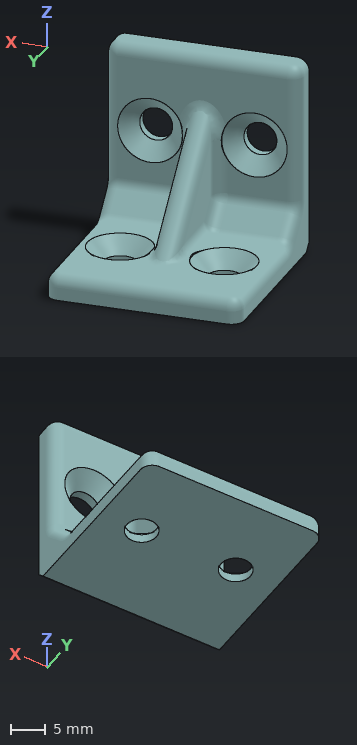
import cadquery as cq
import math

size = 30.0
wall = 4.0
round_radius = wall / 2
corner_gusset = wall
heel_chamfer = 1.25
rib_width = wall
rib_reach = 26.0
bend_start = wall + corner_gusset
pick_margin = 0.3
hole_diameter = 5.0
sink_diameter = 2 * hole_diameter
sink_depth = (sink_diameter - hole_diameter) / 2
hole_spacing = 16.0
hole_height = 17.0


def extrude_across(points, width):
    """Extrude a closed (Y, Z) outline along X, centred on X = 0."""
    return cq.Workplane("YZ").polyline(points).close().extrude(width / 2, both=True)


def make_plates():
    """L section with a slanted inner corner, rounded ends and rounded rims."""
    plates = extrude_across(
        [
            (heel_chamfer, 0),
            (size, 0),
            (size, wall),
            (bend_start, wall),
            (wall, bend_start),
            (wall, size),
            (0, size),
            (0, heel_chamfer),
        ],
        size,
    )
    bend_end = bend_start + pick_margin
    bend_edges = cq.selectors.BoxSelector((-size, wall / 2, wall / 2), (size, bend_end, bend_end))
    plates = plates.edges("|X").edges(bend_edges).fillet(round_radius)
    plates = plates.faces(">Y").edges("|Z").fillet(round_radius)
    plates = plates.faces(">Z").edges("|Y").fillet(round_radius)
    rim_start = cq.selectors.BoxSelector(
        (-pick_margin, size - pick_margin, wall - pick_margin),
        (pick_margin, size + pick_margin, wall + pick_margin),
    )
    return plates.edges(rim_start).fillet(round_radius)


def rib_prism(reach):
    """Triangular slab from inside both plates out to the plane Y + Z = reach."""
    embed = wall / 2
    tip = reach - embed
    return extrude_across([(embed, embed), (tip, embed), (embed, tip)], rib_width)


def make_rib():
    """Diagonal rib with a fully rounded crest, reaching into both plates."""
    crest_radius = rib_width / 2
    axis_reach = rib_reach - crest_radius * math.sqrt(2)
    crest_plane = cq.Plane((0, axis_reach / 2, axis_reach / 2), (1, 0, 0), (0, -1, 1))
    crest = cq.Workplane(crest_plane).circle(crest_radius).extrude(size, both=True)
    return rib_prism(axis_reach).union(crest.intersect(rib_prism(rib_reach)))


def blend_rib(plates, rib):
    """Fillet the seam between the rib and the plates."""
    side = rib_width / 2 + pick_margin
    low = wall - pick_margin
    high = wall + pick_margin
    bend_end = bend_start + round_radius
    on_floor = cq.selectors.BoxSelector((-side, low, low), (side, rib_reach, high))
    on_upright = cq.selectors.BoxSelector((-side, low, low), (side, high, rib_reach))
    on_bend = cq.selectors.BoxSelector((-side, low, low), (side, bend_end, bend_end))
    return plates.union(rib).edges(on_floor + on_upright + on_bend).fillet(round_radius)


def screw_hole(x):
    """Vertical countersunk hole through the floor, open above the floor."""
    hole = cq.Workplane().circle(hole_diameter / 2).extrude(wall)
    cone = (
        cq.Workplane(origin=(0, 0, wall - sink_depth))
        .circle(hole_diameter / 2)
        .workplane(offset=sink_depth)
        .circle(sink_diameter / 2)
        .loft()
    )
    head = cq.Workplane(origin=(0, 0, wall)).circle(sink_diameter / 2).extrude(wall)
    return hole.union(cone).union(head).translate((x, hole_height, 0))


result = blend_rib(make_plates(), make_rib())
for x in (-hole_spacing / 2, hole_spacing / 2):
    floor_hole = screw_hole(x)
    result = result.cut(floor_hole)
    result = result.cut(floor_hole.rotate((0, 0, 0), (0, 1, 1), 180))